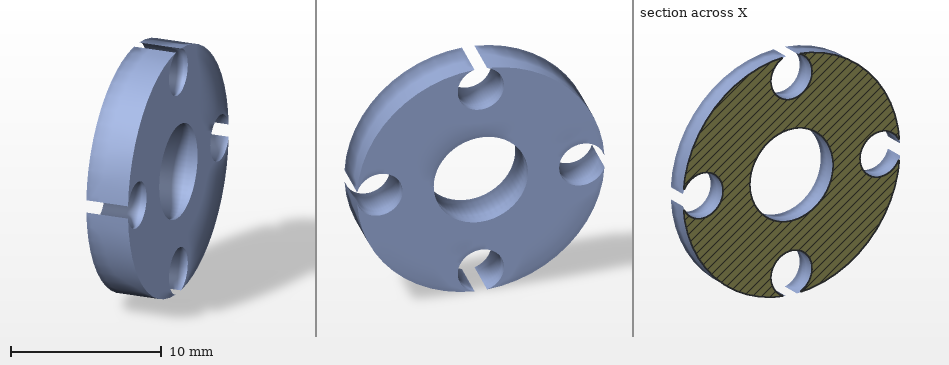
import cadquery as cq
import math

overall_size = 17.08
thickness = 3.0
bore_diameter = 6.5
notch_diameter = 3.2
notch_center_radius = 7.0
notch_count = 4

tip_distance = overall_size / 2
notch_radius = notch_diameter / 2
half_opening = math.sqrt(notch_radius**2 - (tip_distance - notch_center_radius) ** 2)
rim_radius = math.hypot(tip_distance, half_opening)

disc = cq.Workplane("YZ").circle(rim_radius).circle(bore_diameter / 2).extrude(thickness)

notches = (
    cq.Workplane("YZ")
    .polarArray(notch_center_radius, 0, 360, notch_count)
    .circle(notch_radius)
    .extrude(thickness)
)

result = disc.cut(notches)